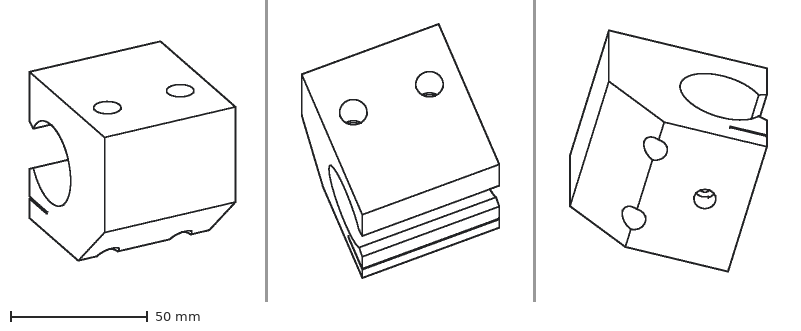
import cadquery as cq
import math

width = 60.0
depth = 54.0
height = 60.0
corner_cut = 21.0

bore_diameter = 32.0
bore_x = 17.0
bore_z = height / 2
mouth_angle = 60.0

slot_bottom = 8.0
slot_top = 8.9
slot_length = 14.0

mount_x = width - corner_cut
mount_spacing = 30.0
mount_upper_diameter = 10.0
mount_lower_diameter = 8.6
mount_upper_depth = 20.0

screw_x = 16.2
screw_wide_diameter = 8.0
screw_narrow_diameter = 4.0


def vertical_cylinder(x, y, diameter, bottom, top):
    return (
        cq.Workplane("XY", origin=(x, y, bottom))
        .circle(diameter / 2)
        .extrude(top - bottom)
    )


def make_block():
    return (
        cq.Workplane("XZ")
        .moveTo(0, 0)
        .lineTo(width - corner_cut, 0)
        .lineTo(width, corner_cut)
        .lineTo(width, height)
        .lineTo(0, height)
        .close()
        .extrude(-depth)
    )


def make_bore():
    mouth_half_height = bore_x * math.tan(math.radians(mouth_angle / 2))
    bore = (
        cq.Workplane("XZ")
        .center(bore_x, bore_z)
        .circle(bore_diameter / 2)
        .extrude(-depth)
    )
    mouth = (
        cq.Workplane("XZ")
        .moveTo(bore_x, bore_z)
        .lineTo(0, bore_z + mouth_half_height)
        .lineTo(0, bore_z - mouth_half_height)
        .close()
        .extrude(-depth)
    )
    return bore.union(mouth)


def make_slot():
    return (
        cq.Workplane("XY", origin=(0, 0, slot_bottom))
        .rect(slot_length, depth, centered=False)
        .extrude(slot_top - slot_bottom)
    )


def make_mount_hole(y):
    upper = vertical_cylinder(mount_x, y, mount_upper_diameter, height - mount_upper_depth, height)
    lower = vertical_cylinder(mount_x, y, mount_lower_diameter, 0, height)
    return upper.union(lower)


def make_screw_hole():
    wide = vertical_cylinder(screw_x, depth / 2, screw_wide_diameter, 0, slot_top)
    narrow = vertical_cylinder(screw_x, depth / 2, screw_narrow_diameter, 0, bore_z)
    return wide.union(narrow)


result = make_block().cut(make_bore()).cut(make_slot()).cut(make_screw_hole())

for side in (-1, 1):
    result = result.cut(make_mount_hole(depth / 2 + side * mount_spacing / 2))